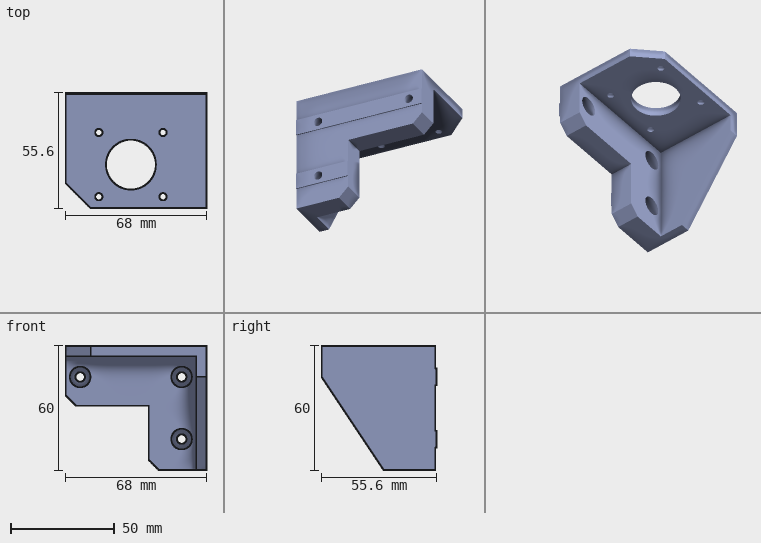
import cadquery as cq

WIDTH = 68.0
DEPTH = 55.0
HEIGHT = 60.0
SHELF_THICKNESS = 5.0
GUSSET_THICKNESS = 5.0
WALL_THICKNESS = 12.0

ARM_HEIGHT = 29.0
LEG_WIDTH = 28.0
WALL_CHAMFER = 5.0

SHELF_CHAMFER = 12.0
MOTOR_X = (WIDTH - GUSSET_THICKNESS) / 2
MOTOR_Y = 21.0
MOTOR_BORE = 24.0
MOTOR_SCREW_SPACING = 31.0
MOTOR_SCREW_HOLE = 3.4

GUSSET_FRONT_HEIGHT = 15.0
GUSSET_FOOT_DEPTH = 25.0

SCREW_HOLE = 4.5
SCREW_HEAD = 10.0
SCREW_HEAD_DEPTH = 7.0
SCREW_LEFT_X = 7.0
SCREW_RIGHT_X = WIDTH - 12.0
SCREW_UPPER_Z = HEIGHT - 15.0
SCREW_LOWER_Z = 15.0

RIB_HEIGHT = 8.2
RIB_PROJECTION = 0.6

WALL_FRONT_Y = DEPTH - WALL_THICKNESS
BACK_Y = DEPTH + RIB_PROJECTION
LEG_LEFT_X = WIDTH - LEG_WIDTH
ARM_BOTTOM_Z = HEIGHT - ARM_HEIGHT


def plane_facing_back(y):
    """XZ plane at depth y whose extrusions run toward +Y."""
    return cq.Workplane(cq.Plane(origin=(0, y, 0), xDir=(1, 0, 0), normal=(0, 1, 0)))


def xz_points(points):
    """Convert (x, z) pairs to the local axes of a back-facing plane, where local y is -Z."""
    return [(x, -z) for x, z in points]


def make_shelf():
    outline = [
        (SHELF_CHAMFER, 0),
        (WIDTH, 0),
        (WIDTH, DEPTH),
        (0, DEPTH),
        (0, SHELF_CHAMFER),
    ]
    shelf_bottom = cq.Workplane("XY").workplane(offset=HEIGHT - SHELF_THICKNESS)
    return shelf_bottom.polyline(outline).close().extrude(SHELF_THICKNESS)


def make_wall():
    outline = [
        (0, HEIGHT),
        (WIDTH, HEIGHT),
        (WIDTH, 0),
        (LEG_LEFT_X + WALL_CHAMFER, 0),
        (LEG_LEFT_X, WALL_CHAMFER),
        (LEG_LEFT_X, ARM_BOTTOM_Z),
        (WALL_CHAMFER, ARM_BOTTOM_Z),
        (0, ARM_BOTTOM_Z + WALL_CHAMFER),
    ]
    return plane_facing_back(WALL_FRONT_Y).polyline(xz_points(outline)).close().extrude(WALL_THICKNESS)


def make_gusset():
    outline = [
        (0, HEIGHT),
        (DEPTH, HEIGHT),
        (DEPTH, 0),
        (DEPTH - GUSSET_FOOT_DEPTH, 0),
        (0, HEIGHT - GUSSET_FRONT_HEIGHT),
    ]
    inner_face = cq.Workplane("YZ").workplane(offset=WIDTH - GUSSET_THICKNESS)
    return inner_face.polyline(outline).close().extrude(GUSSET_THICKNESS)


def make_rib(left_x, center_z):
    """Shallow rib on the back face, running from left_x to the right side."""
    length = WIDTH - left_x
    rib = cq.Workplane("XY").box(length, RIB_PROJECTION, RIB_HEIGHT, centered=(False, False, True))
    return rib.translate((left_x, DEPTH, center_z))


def motor_holes():
    """Central bore and square screw pattern through the shelf."""
    shelf_plane = cq.Workplane("XY").workplane(offset=HEIGHT - SHELF_THICKNESS).center(MOTOR_X, MOTOR_Y)
    bore = shelf_plane.circle(MOTOR_BORE / 2).extrude(SHELF_THICKNESS)
    screws = (
        shelf_plane.rect(MOTOR_SCREW_SPACING, MOTOR_SCREW_SPACING, forConstruction=True)
        .vertices()
        .circle(MOTOR_SCREW_HOLE / 2)
        .extrude(SHELF_THICKNESS)
    )
    return bore.union(screws)


def wall_screw_holes():
    """Through holes with head recesses sunk from the front of the wall."""
    centers = xz_points([
        (SCREW_LEFT_X, SCREW_UPPER_Z),
        (SCREW_RIGHT_X, SCREW_UPPER_Z),
        (SCREW_RIGHT_X, SCREW_LOWER_Z),
    ])
    front = plane_facing_back(WALL_FRONT_Y).pushPoints(centers)
    shanks = front.circle(SCREW_HOLE / 2).extrude(BACK_Y - WALL_FRONT_Y)
    heads = front.circle(SCREW_HEAD / 2).extrude(SCREW_HEAD_DEPTH)
    return shanks.union(heads)


body = make_shelf().union(make_wall()).union(make_gusset())
body = body.union(make_rib(0, SCREW_UPPER_Z))
body = body.union(make_rib(LEG_LEFT_X, SCREW_LOWER_Z))
result = body.cut(motor_holes()).cut(wall_screw_holes())